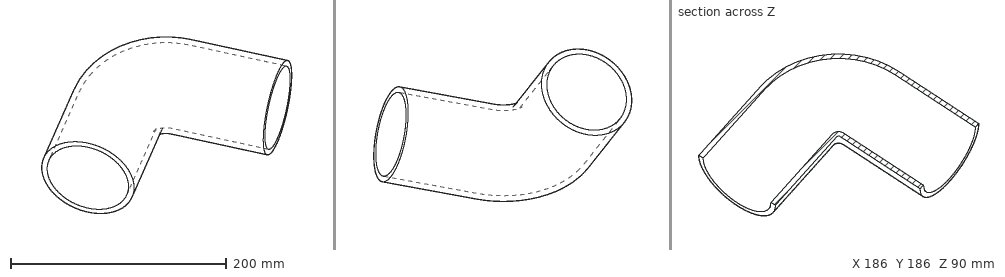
import cadquery as cq
import math

overall_length = 186.0
outer_diameter = 90.0
bore_diameter = 79.2
leg_length = 94.0

bend_radius = overall_length - leg_length - outer_diameter / 2
leg_end = bend_radius + leg_length

arc_middle = bend_radius * (1 - math.sqrt(0.5))

centreline = (
    cq.Workplane("XY")
    .moveTo(0, -leg_end)
    .lineTo(0, -bend_radius)
    .threePointArc((arc_middle, -arc_middle), (bend_radius, 0))
    .lineTo(leg_end, 0)
)

result = (
    cq.Workplane("XZ", origin=(0, -leg_end, 0))
    .circle(outer_diameter / 2)
    .circle(bore_diameter / 2)
    .sweep(centreline)
)